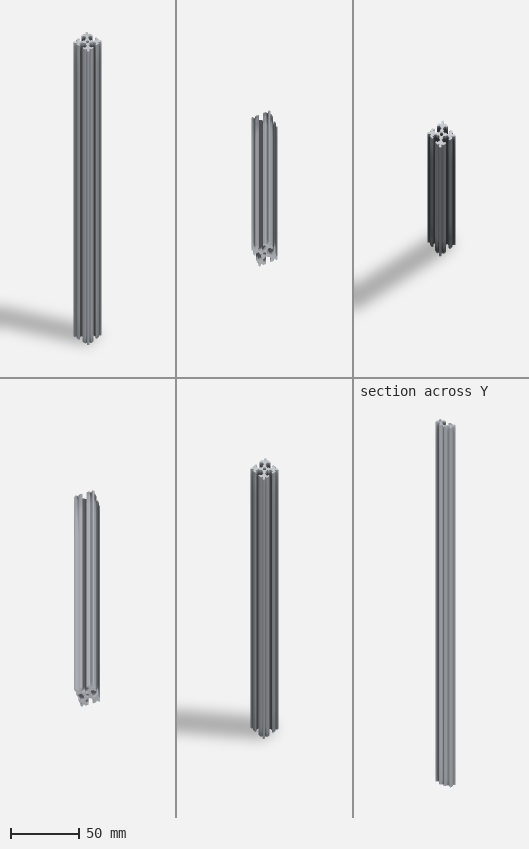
import cadquery as cq
import math

length = 300.0
width = 15.0
half = width / 2
corner_radius = 0.72
bore_radius = 1.25

taper = math.tan(math.radians(12.5))

mouth_half_width = 1.6
slot_half_width = 2.85
lip_thickness = 1.23
lip_chamfer_width = 0.35
lip_chamfer_depth = 0.4

floor_height = 3
notch_half_width = 1.0
notch_depth = 0.75
bevel_width = 0.25
bevel_height = 0.48

groove_edge_inset = 1.2
groove_wall_width = 1.1
groove_wall_depth = 1.2
groove_floor_width = 0.72
shoulder_width = 0.78
shoulder_drop = 0.3


def slot_points():
    """Half of a T-slot, from the notch out to the chamfered lip, on the +Y side."""
    flank_end = slot_half_width - bevel_width
    flank_top = floor_height + (flank_end - notch_half_width) * taper
    lip_tip = half - lip_thickness
    lip_root = lip_tip - (slot_half_width - mouth_half_width) * taper
    return [
        (notch_half_width, floor_height - notch_depth),
        (notch_half_width, floor_height),
        (flank_end, flank_top),
        (slot_half_width, flank_top + bevel_height),
        (slot_half_width, lip_root),
        (mouth_half_width, lip_tip),
        (mouth_half_width, half - lip_chamfer_depth),
        (mouth_half_width + lip_chamfer_width, half),
    ]


def groove_points():
    """Groove from the sloped shoulder of the lip to the corner, on the +Y side."""
    outer_edge = half - groove_edge_inset
    wall_foot = outer_edge - groove_wall_width
    lip_wall = wall_foot - groove_floor_width
    foot_height = half - groove_wall_depth
    return [
        (lip_wall - shoulder_width, half),
        (lip_wall, half - shoulder_drop),
        (lip_wall, foot_height - groove_floor_width * taper),
        (wall_foot, foot_height),
        (outer_edge, half),
    ]


def quarter_turns(point, turns):
    """Turn a point clockwise about the axis by a number of quarter turns."""
    x, y = point
    for _ in range(turns):
        x, y = y, -x
    return x, y


def profile():
    to_corner = slot_points() + groove_points() + [(half - corner_radius, half)]
    from_corner = [(y, x) for x, y in reversed(to_corner)]
    arc_middle = half - corner_radius * (1 - math.sqrt(0.5))

    sketch = cq.Workplane("XY").moveTo(*to_corner[0])
    for turns in range(4):
        for point in to_corner:
            if turns == 0 and point == to_corner[0]:
                continue
            sketch = sketch.lineTo(*quarter_turns(point, turns))
        sketch = sketch.threePointArc(
            quarter_turns((arc_middle, arc_middle), turns),
            quarter_turns(from_corner[0], turns),
        )
        for point in from_corner[1:]:
            sketch = sketch.lineTo(*quarter_turns(point, turns))
    return sketch.close()


bore = cq.Workplane("XY").circle(bore_radius).extrude(length)
result = profile().extrude(length).cut(bore)